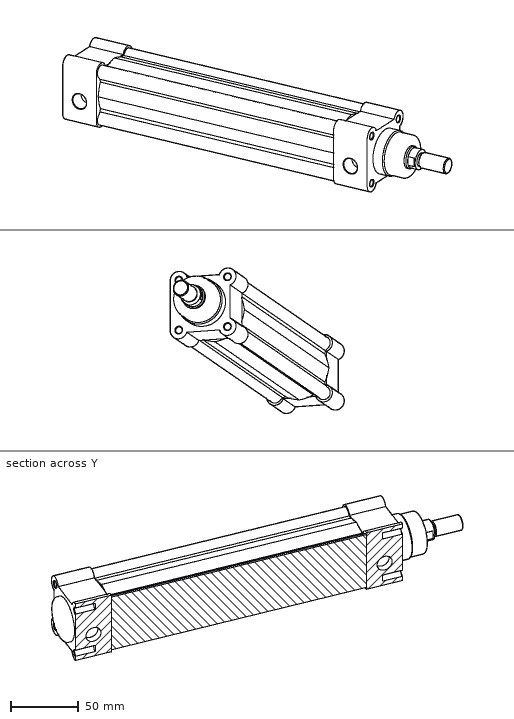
import cadquery as cq
import math


overall_length = 323.7
rear_boss_length = 4.0
cap_length = 29.3
tube_length = 206.3
collar_length = 9.2
nose_length = 12.5
seal_length = 2.5
thread_length = 22.4
undercut_length = 1.6

rear_cap_x = rear_boss_length
tube_x = rear_cap_x + cap_length
front_cap_x = tube_x + tube_length
front_face_x = front_cap_x + cap_length
nose_x = front_face_x + collar_length
seal_x = nose_x + nose_length
rod_x = seal_x + seal_length
thread_x = overall_length - thread_length
undercut_x = thread_x - undercut_length

bolt_offset = 19.0
cap_lobe_radius = 6.69
cap_half_width = bolt_offset + cap_lobe_radius
cap_flat = 21.1
bolt_hole_diameter = 5.0
bolt_hole_chamfer = 0.5
bolt_hole_depth = 16.0
port_diameter = 11.8
port_chamfer = 0.4
port_depth = 12.0
port_z = -6.0
boss_diameter = 35.0
boss_fillet = 2.0

nose_diameter = 33.0
collar_chamfer = (boss_diameter - nose_diameter) / 2
nose_fillet = 1.7
seal_diameter = 17.4
seal_chamfer = 1.0

tube_lobe_radius = 5.0
tube_radius = 22.5
ridge_height = 23.0
ridge_half_width = 4.4
round_half_width = 10.7
groove_half_width = 13.15
groove_height = 20.3

rod_diameter = 15.6
wrench_flats = 14.0
wrench_flat_end = undercut_x - 1.2
undercut_diameter = 10.4
thread_diameter = 12.0
thread_chamfer = 0.7

bolt_points = [(y, z) for y in (-bolt_offset, bolt_offset) for z in (-bolt_offset, bolt_offset)]


def section(x):
    """Workplane across the axis at x, with local axes along Y and Z."""
    return cq.Workplane("YZ", origin=(x, 0, 0))


def disc(x, diameter, length):
    return section(x).circle(diameter / 2).extrude(length)


def make_cap_block(x, bolt_face_x, drill_sign):
    """Cap with four corner lobes, flush on the port side, bolt holes in one face and a port."""
    core_width = cap_flat + cap_half_width
    core_center_y = (cap_flat - cap_half_width) / 2
    core = section(x).center(core_center_y, 0).rect(core_width, 2 * bolt_offset).extrude(cap_length)
    bridge = section(x).rect(2 * bolt_offset, 2 * cap_flat).extrude(cap_length)
    lobes = section(x).pushPoints(bolt_points).circle(cap_lobe_radius).extrude(cap_length)
    block = core.union(bridge).union(lobes)

    for y, z in bolt_points:
        mouth = cq.Vector(bolt_face_x, y, z)
        block = block.cut(make_hole(mouth, cq.Vector(drill_sign, 0, 0), bolt_hole_diameter,
                                    bolt_hole_depth, bolt_hole_chamfer))
    port_mouth = cq.Vector(x + cap_length / 2, -cap_half_width, port_z)
    return block.cut(make_hole(port_mouth, cq.Vector(0, 1, 0), port_diameter, port_depth, port_chamfer))


def make_hole(mouth, direction, diameter, depth, chamfer):
    """Cutter for a blind hole with a chamfered mouth."""
    radius = diameter / 2
    bore = cq.Solid.makeCylinder(radius, depth, mouth, direction)
    countersink = cq.Solid.makeCone(radius + chamfer, radius, chamfer, mouth, direction)
    return cq.Workplane(bore).union(cq.Workplane(countersink))


def make_rear_cap():
    block = make_cap_block(rear_cap_x, rear_cap_x, 1)
    boss = disc(0, boss_diameter, rear_boss_length).faces("<X").edges().fillet(boss_fillet)
    return block.union(boss)


def make_front_cap():
    block = make_cap_block(front_cap_x, front_face_x, -1)
    collar = disc(front_face_x, boss_diameter, collar_length).faces(">X").edges().chamfer(collar_chamfer)
    nose = disc(nose_x, nose_diameter, nose_length).faces(">X").edges().fillet(nose_fillet)
    seal = disc(seal_x, seal_diameter, seal_length).faces(">X").edges().chamfer(seal_chamfer)
    return block.union(collar).union(nose).union(seal)


def on_circle(half_width):
    return math.sqrt(tube_radius**2 - half_width**2)


def turned(point, quarter_turns):
    """Point rotated about the axis by a number of clockwise quarter turns."""
    y, z = point
    for _ in range(quarter_turns):
        y, z = z, -y
    return (y, z)


def make_tube():
    """Extruded profile: a round tube with a ridge on each side and a round lobe at each corner."""
    ridge_foot = on_circle(ridge_half_width)
    round_end = on_circle(round_half_width)
    arc_middle = (ridge_half_width + round_half_width) / 2
    diagonal = tube_lobe_radius * math.sqrt(0.5)
    lobe_start = (bolt_offset - diagonal, bolt_offset + diagonal)
    lobe_tip = (bolt_offset + diagonal, bolt_offset + diagonal)
    lobe_end = (bolt_offset + diagonal, bolt_offset - diagonal)

    profile = section(tube_x).moveTo(0, ridge_height)
    for k in range(4):
        profile = (
            profile.lineTo(*turned((ridge_half_width, ridge_foot), k))
            .threePointArc(turned((arc_middle, on_circle(arc_middle)), k),
                           turned((round_half_width, round_end), k))
            .lineTo(*turned((groove_half_width, groove_height), k))
            .lineTo(*turned(lobe_start, k))
            .threePointArc(turned(lobe_tip, k), turned(lobe_end, k))
            .lineTo(*turned((groove_height, groove_half_width), k))
            .lineTo(*turned((round_end, round_half_width), k))
            .threePointArc(turned((on_circle(arc_middle), arc_middle), k),
                           turned((ridge_foot, ridge_half_width), k))
            .lineTo(*turned((ridge_height, 0), k))
        )
    return profile.close().extrude(tube_length)


def make_rod():
    """Visible rod end: wrench flats, an undercut and a plain cylinder for the thread."""
    shank = disc(rod_x, rod_diameter, undercut_x - rod_x)
    flat_length = wrench_flat_end - rod_x
    for side in (-1, 1):
        waste_center = (rod_x + flat_length / 2, side * (wrench_flats + rod_diameter) / 2, 0)
        waste = cq.Workplane("XY", origin=waste_center).box(flat_length, rod_diameter, rod_diameter)
        shank = shank.cut(waste)
    undercut = disc(undercut_x, undercut_diameter, undercut_length)
    thread = disc(thread_x, thread_diameter, thread_length).edges("%CIRCLE").chamfer(thread_chamfer)
    return shank.union(undercut).union(thread)


rear_cap = make_rear_cap()
tube = make_tube()
front_cap = make_front_cap()
piston_rod = make_rod()

result = cq.Compound.makeCompound([rear_cap.val(), tube.val(), front_cap.val(), piston_rod.val()])